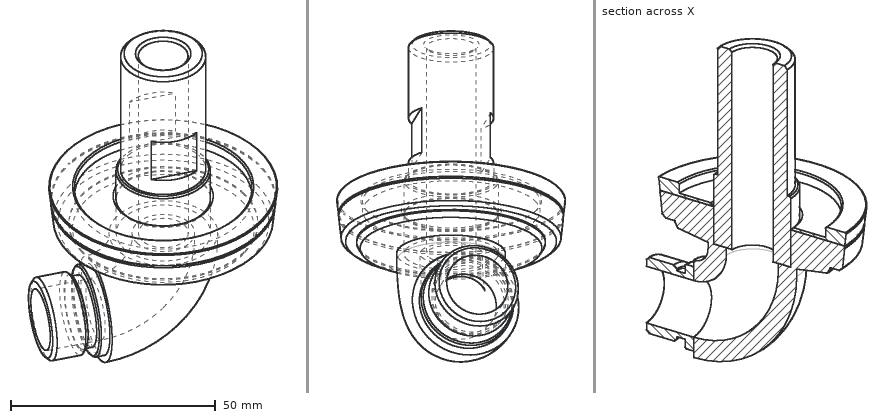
import cadquery as cq

stem_top = 40.3
cap_radius = 27.9
outlet_end = 31.5

thread_radius = 10.4
thread_chamfer = 0.9
collar_radius = 11.5
collar_chamfer = 0.4

elbow_radius = 13.3
bend_radius = 17.4
outlet_bore_radius = 7.6
elbow_top = -14.0
straight_length = 1.7
bend_start = elbow_top - straight_length
outlet_axis = bend_start - bend_radius

stem_bore_radius = 6.1
bore_chamfer = 0.7
stem_collar_top = 5.3
flat_bottom = 9.5
flat_top = 21.1
flat_half_width = 8.6

collar_length = 2.6
neck_length = 2.3
neck_radius = 9.0
nipple_length = outlet_end - bend_radius

recess_radius = 21.7
recess_depth = 2.9
recess_chamfer = 0.4
clearance_radius = 12.2
rim_chamfer = 0.3
cap_base = -3.8
cap_base_radius = 27.5

flange_chamfer_height = 0.5
flange_chamfer_width = 0.3
rim_radius = 27.5
rim_base = -9.9
rim_base_radius = 26.9
underside = -10.85
underside_radius = 25.8
step_radius = 23.1
step_taper_start = -11.2
step_base = -12.6
step_base_radius = 22.2


def revolve_about_z(points):
    """Turn a closed (radius, height) outline about the Z axis."""
    return cq.Workplane("XZ").polyline(points).close().revolve(360, (0, 0, 0), (0, 1, 0))


def make_stem():
    """Bored stem standing on the elbow, with a collar and two wrench flats."""
    stem = revolve_about_z([
        (stem_bore_radius, elbow_top),
        (collar_radius, elbow_top),
        (collar_radius, stem_collar_top - collar_chamfer),
        (collar_radius - collar_chamfer, stem_collar_top),
        (thread_radius, stem_collar_top),
        (thread_radius, stem_top - thread_chamfer),
        (thread_radius - thread_chamfer, stem_top),
        (stem_bore_radius + bore_chamfer, stem_top),
        (stem_bore_radius, stem_top - bore_chamfer),
    ])
    flat_depth = thread_radius - flat_half_width
    for side in (-1, 1):
        flat_cutter = cq.Workplane("XY").box(
            flat_depth, 2 * thread_radius, flat_top - flat_bottom, centered=(True, True, False)
        )
        stem = stem.cut(flat_cutter.translate((side * (flat_half_width + flat_depth / 2), 0, flat_bottom)))
    return stem


def make_cap():
    """Tapered cap on the flange, with a recess on top and a chamfered hole around the stem collar."""
    return revolve_about_z([
        (collar_radius, cap_base),
        (cap_base_radius, cap_base),
        (cap_radius, -rim_chamfer),
        (cap_radius - rim_chamfer, 0),
        (recess_radius + recess_chamfer, 0),
        (recess_radius, -recess_chamfer),
        (recess_radius, -recess_depth),
        (clearance_radius, -recess_depth),
        (collar_radius, -recess_depth - (clearance_radius - collar_radius)),
    ])


def make_flange():
    """Flange with a chamfered upper edge, a tapered rim and a stepped conical underside."""
    return revolve_about_z([
        (collar_radius, elbow_top),
        (elbow_radius, elbow_top),
        (step_base_radius, step_base),
        (step_radius, step_taper_start),
        (step_radius, underside),
        (underside_radius, underside),
        (rim_base_radius, rim_base),
        (rim_radius, cap_base - flange_chamfer_height),
        (rim_radius - flange_chamfer_width, cap_base),
        (collar_radius, cap_base),
    ])


def bent_rod(radius):
    """Solid rod: a straight length below the flange followed by a quarter bend towards -Y."""
    start_plane = cq.Workplane("XY", origin=(0, 0, bend_start))
    straight = start_plane.circle(radius).extrude(straight_length)
    bend = start_plane.circle(radius).revolve(90, (0, -bend_radius, 0), (-1, -bend_radius, 0))
    return straight.union(bend)


def make_elbow():
    """Hollow quarter-bend elbow carrying the flange around its upper end."""
    elbow = bent_rod(elbow_radius).cut(bent_rod(outlet_bore_radius))
    return elbow.union(make_flange())


def make_nipple():
    """Bored outlet nipple with a collar, a neck and a threaded end."""
    neck_end = collar_length + neck_length
    nipple = revolve_about_z([
        (outlet_bore_radius, 0),
        (collar_radius, 0),
        (collar_radius, collar_length - collar_chamfer),
        (collar_radius - collar_chamfer, collar_length),
        (neck_radius, collar_length),
        (neck_radius, neck_end),
        (thread_radius - thread_chamfer, neck_end),
        (thread_radius, neck_end + thread_chamfer),
        (thread_radius, nipple_length - thread_chamfer),
        (thread_radius - thread_chamfer, nipple_length),
        (outlet_bore_radius, nipple_length),
    ])
    turned = nipple.rotate((0, 0, 0), (1, 0, 0), 90)
    return turned.translate((0, -bend_radius, outlet_axis))


stem = make_stem()
cap = make_cap()
elbow = make_elbow()
nipple = make_nipple()

result = cq.Compound.makeCompound([stem.val(), cap.val(), elbow.val(), nipple.val()])